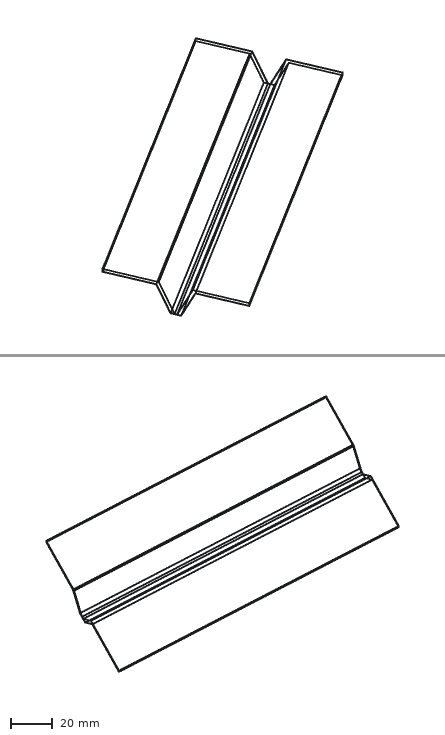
import cadquery as cq

length = 152.4
width = 73.6
height = 21.0

flange_thickness = 2.1
floor_thickness = 0.2
mouth_width = 17.0
floor_width = 1.2
wall_thickness = 2.0

inner_run = (mouth_width - floor_width) / 2
inner_rise = height - floor_thickness
wall_slope = inner_run / inner_rise
wall_offset = wall_thickness * (1 + wall_slope**2) ** 0.5


def inner_half_width(z):
    """Distance from the mid-plane to the inner wall face at height z."""
    return floor_width / 2 + wall_slope * (z - floor_thickness)


def outer_half_width(z):
    """Distance from the mid-plane to the outer wall face at height z."""
    return inner_half_width(z) + wall_offset


flange_bottom = height - flange_thickness
right_half = [
    (inner_half_width(floor_thickness), floor_thickness),
    (inner_half_width(height), height),
    (width / 2, height),
    (width / 2, flange_bottom),
    (outer_half_width(flange_bottom), flange_bottom),
    (outer_half_width(0), 0),
]
left_half = [(-x, z) for x, z in reversed(right_half)]

result = (
    cq.Workplane("XZ")
    .polyline(right_half + left_half)
    .close()
    .extrude(length / 2, both=True)
)